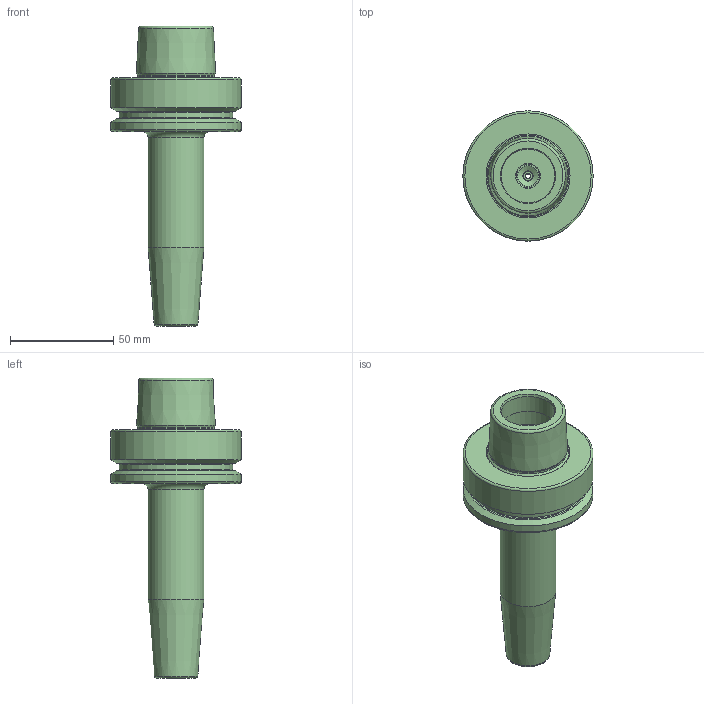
import cadquery as cq
import math


flange_radius = 63 / 2
flange_thickness = 26
flange_edge_round = 1
groove_centre_z = -18
groove_mouth_width = 7
groove_floor_width = 3.5
groove_shoulder_radius = 57.6 / 2
groove_floor_radius = 55 / 2
groove_floor_fillet = 0.4

taper_height = 25
taper_ratio = 1 / 10
gauge_radius = 38 / 2
gauge_z = 5
taper_edge_round = 1.2
taper_base_z = 2.1
neck_radius = 37.6 / 2
neck_top_z = 1.3
neck_flare_z = 0.4
neck_foot_radius = 39.4 / 2
relief_radius = 40.6 / 2
relief_depth = 0.5

total_height = 145
shank_radius = 27 / 2
shank_fillet = 3
tip_radius = 21 / 2
tip_taper_angle = 4.5
tip_edge_round = 1

mouth_radius = 26 / 2
mouth_depth = 10
mouth_chamfer_height = 1.3
mouth_chamfer_angle = 15
chamber_radius = 30 / 2
chamber_depth = 20.5
chamber_fillet = 1.3

socket_radius = 11.2 / 2
socket_chamfer = 0.4
socket_depth = 10
cone_radius = 10 / 2
cone_end_radius = 5 / 2
cone_angle = 59
pilot_radius = 4.2 / 2
pilot_depth = 5
through_radius = 2.4 / 2

flange_bottom_z = -flange_thickness
tip_z = taper_height - total_height
nose_length = (shank_radius - tip_radius) / math.tan(math.radians(tip_taper_angle))
chamber_floor_z = taper_height - chamber_depth


def taper_radius_at(z):
    """Radius of the outer taper at a given height."""
    return gauge_radius - (z - gauge_z) * taper_ratio / 2


def revolve_about_axis(outline):
    """Turn a closed half section into a solid of revolution about Z."""
    return outline.revolve(360, (0, 0, 0), (0, 1, 0))


def circle_at(radius, z):
    """Selector for the circular edge that crosses the section at (radius, z)."""
    reach = 0.01
    ring_box = cq.selectors.BoxSelector(
        (-radius - reach, -radius - reach, z - reach),
        (radius + reach, radius + reach, z + reach),
        boundingbox=True,
    )
    hole_reach = radius - reach
    inner_box = cq.selectors.BoxSelector(
        (-hole_reach, -hole_reach, z - reach),
        (hole_reach, hole_reach, z + reach),
        boundingbox=True,
    )
    return ring_box - inner_box


def make_outer_body():
    """Revolve the stepped outline of the taper, flange and shank, then round its edges."""
    taper_top_radius = taper_radius_at(taper_height)
    outline = (
        cq.Workplane("XZ")
        .moveTo(0, tip_z)
        .lineTo(tip_radius, tip_z)
        .lineTo(shank_radius, tip_z + nose_length)
        .lineTo(shank_radius, flange_bottom_z)
        .lineTo(flange_radius, flange_bottom_z)
        .lineTo(flange_radius, 0)
        .lineTo(relief_radius, 0)
        .lineTo(relief_radius, -relief_depth)
        .lineTo(neck_foot_radius, -relief_depth)
        .lineTo(neck_radius, neck_flare_z)
        .lineTo(neck_radius, neck_top_z)
        .lineTo(taper_radius_at(taper_base_z), taper_base_z)
        .lineTo(taper_top_radius, taper_height)
        .lineTo(0, taper_height)
        .close()
    )
    body = revolve_about_axis(outline)
    body = body.edges(circle_at(taper_top_radius, taper_height)).fillet(taper_edge_round)
    body = body.edges(circle_at(tip_radius, tip_z)).fillet(tip_edge_round)
    body = body.edges(circle_at(shank_radius, flange_bottom_z)).fillet(shank_fillet)
    for edge_z in (0, flange_bottom_z):
        body = body.edges(circle_at(flange_radius, edge_z)).fillet(flange_edge_round)
    return body


def make_groove():
    """Ring that cuts the gripper groove: sloping walls, flat shoulders, filleted floor."""
    mouth_half = groove_mouth_width / 2
    floor_half = groove_floor_width / 2
    section = (
        cq.Workplane("XZ")
        .moveTo(flange_radius, groove_centre_z - mouth_half)
        .lineTo(flange_radius, groove_centre_z + mouth_half)
        .lineTo(groove_shoulder_radius, groove_centre_z + floor_half)
        .lineTo(groove_floor_radius, groove_centre_z + floor_half)
        .lineTo(groove_floor_radius, groove_centre_z - floor_half)
        .lineTo(groove_shoulder_radius, groove_centre_z - floor_half)
        .close()
    )
    ring = revolve_about_axis(section)
    for floor_edge_z in (groove_centre_z - floor_half, groove_centre_z + floor_half):
        ring = ring.edges(circle_at(groove_floor_radius, floor_edge_z)).fillet(groove_floor_fillet)
    return ring


def make_hollow():
    """Chamfered mouth that opens into a wider chamber with a rounded floor edge."""
    mouth_bottom_z = taper_height - mouth_depth
    chamfer_width = mouth_chamfer_height * math.tan(math.radians(mouth_chamfer_angle))
    outline = (
        cq.Workplane("XZ")
        .moveTo(0, taper_height)
        .lineTo(mouth_radius + chamfer_width, taper_height)
        .lineTo(mouth_radius, taper_height - mouth_chamfer_height)
        .lineTo(mouth_radius, mouth_bottom_z)
        .lineTo(chamber_radius, mouth_bottom_z)
        .lineTo(chamber_radius, chamber_floor_z)
        .lineTo(0, chamber_floor_z)
        .close()
    )
    hollow = revolve_about_axis(outline)
    return hollow.edges(circle_at(chamber_radius, chamber_floor_z)).fillet(chamber_fillet)


def make_stepped_hole():
    """Chamfered socket with a flat rim and conical floor, then a pilot and a through hole."""
    socket_floor_z = chamber_floor_z - socket_depth
    cone_depth = (cone_radius - cone_end_radius) / math.tan(math.radians(cone_angle))
    cone_bottom_z = socket_floor_z - cone_depth
    pilot_bottom_z = cone_bottom_z - pilot_depth
    outline = (
        cq.Workplane("XZ")
        .moveTo(0, chamber_floor_z)
        .lineTo(socket_radius + socket_chamfer, chamber_floor_z)
        .lineTo(socket_radius, chamber_floor_z - socket_chamfer)
        .lineTo(socket_radius, socket_floor_z)
        .lineTo(cone_radius, socket_floor_z)
        .lineTo(cone_end_radius, cone_bottom_z)
        .lineTo(pilot_radius, cone_bottom_z)
        .lineTo(pilot_radius, pilot_bottom_z)
        .lineTo(through_radius, pilot_bottom_z)
        .lineTo(through_radius, tip_z)
        .lineTo(0, tip_z)
        .close()
    )
    return revolve_about_axis(outline)


result = make_outer_body().cut(make_groove()).cut(make_hollow()).cut(make_stepped_hole())